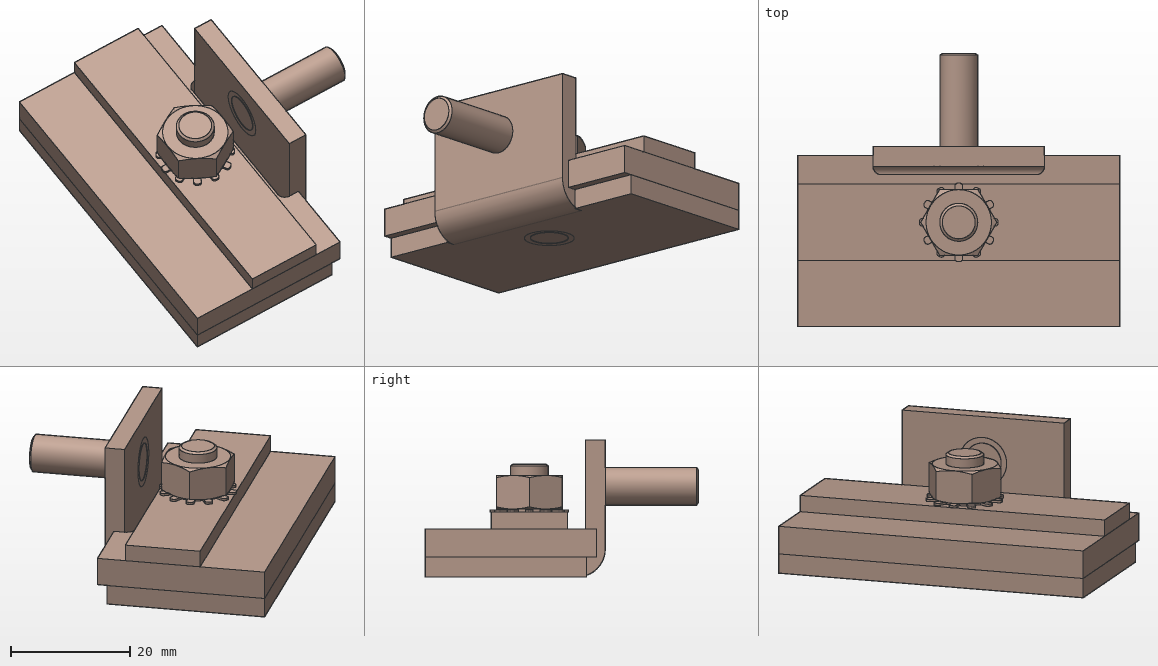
import cadquery as cq
import math

length = 54.0
slab_depth = 28.7
slab_height = 4.75
bar_height = 2.8
bar_width = 12.85
bar_center = 17.5

sheet_thickness = 3.35
foot_depth = 27.1
leg_width = 28.7
bracket_back = 30.25
bracket_top = 23.0
bend_inner_radius = 1.4
stud_height = 15.2

stud_length = 18.95
stud_diameter = 6.35
tip_chamfer_length = 0.3
tip_chamfer_depth = 0.45
head_diameter = 8.35
head_thickness = 1.1
dimple_depth = 0.1

washer_thickness = 0.5
tooth_thickness = 0.4
washer_ring_diameter = 9.5
washer_tip_diameter = 13.15
tooth_count = 12
tooth_width = 1.3
tooth_corner_radius = 0.5

nut_height = 5.65
nut_across_flats = 11.05
nut_face_diameter = 10.95
nut_chamfer_height = 0.4

slab_top = sheet_thickness + slab_height
bar_top = slab_top + bar_height
washer_top = bar_top + washer_thickness

leg_inner = bracket_back - sheet_thickness
bend_outer_radius = bend_inner_radius + sheet_thickness
bend_start = bracket_back - bend_outer_radius


def box(width, front, back, bottom, top):
    """Box centred on X = 0 between two Y values and two Z values."""
    return (
        cq.Workplane("XY", origin=(0, (front + back) / 2, bottom))
        .box(width, back - front, top - bottom, centered=(True, True, False))
    )


def upright_cylinder(diameter, bottom, top):
    """Cylinder on the vertical axis of the nut and the washer."""
    return (
        cq.Workplane("XY", origin=(0, bar_center, bottom))
        .circle(diameter / 2)
        .extrude(top - bottom)
    )


def make_stud():
    """Press-in stud along +Z, with the outer face of its head at Z = 0."""
    radius = stud_diameter / 2
    return (
        cq.Workplane("XZ")
        .moveTo(0, dimple_depth)
        .lineTo(radius, dimple_depth)
        .lineTo(radius, 0)
        .lineTo(head_diameter / 2, 0)
        .lineTo(head_diameter / 2, head_thickness)
        .lineTo(radius, head_thickness)
        .lineTo(radius, stud_length - tip_chamfer_length)
        .lineTo(radius - tip_chamfer_depth, stud_length)
        .lineTo(0, stud_length)
        .close()
        .revolve(360, (0, 0, 0), (0, 1, 0))
    )


def make_stud_hole():
    """Space in the bracket that takes the shank and the head of a stud."""
    shank = cq.Workplane("XY").circle(stud_diameter / 2).extrude(sheet_thickness)
    head = cq.Workplane("XY").circle(head_diameter / 2).extrude(head_thickness)
    return shank.union(head)


def place_upright(body):
    """Stand a stud in the foot, with its head flush with the underside."""
    return body.translate((0, bar_center, 0))


def place_level(body):
    """Point a stud along +Y from the inner face of the upright leg."""
    return body.rotate((0, 0, 0), (1, 0, 0), -90).translate((0, leg_inner, stud_height))


stud_placements = [place_upright, place_level]


def make_bend_and_leg():
    """Narrow tab that curves up from the foot and ends in the upright leg."""
    diagonal = math.sqrt(0.5)
    bend_center_z = bend_outer_radius
    outer_middle = (
        bend_start + bend_outer_radius * diagonal,
        bend_center_z - bend_outer_radius * diagonal,
    )
    inner_middle = (
        bend_start + bend_inner_radius * diagonal,
        bend_center_z - bend_inner_radius * diagonal,
    )
    return (
        cq.Workplane("YZ")
        .moveTo(bend_start, 0)
        .threePointArc(outer_middle, (bracket_back, bend_center_z))
        .lineTo(bracket_back, bracket_top)
        .lineTo(leg_inner, bracket_top)
        .lineTo(leg_inner, bend_center_z)
        .threePointArc(inner_middle, (bend_start, sheet_thickness))
        .close()
        .extrude(leg_width / 2, both=True)
    )


def make_bracket():
    """Sheet-metal bracket: a wide flat foot with a narrower leg bent up at the back."""
    foot = box(length, 0, foot_depth, 0, sheet_thickness)
    leg_slot = box(leg_width, bend_start, foot_depth, 0, sheet_thickness)
    bracket = foot.cut(leg_slot).union(make_bend_and_leg())
    for place in stud_placements:
        bracket = bracket.cut(place(make_stud_hole()))
    return bracket


def make_slab(bracket):
    """Slab on the foot, notched at the back for the upright leg."""
    slab = box(length, 0, slab_depth, sheet_thickness, slab_top)
    notch = (
        box(leg_width, bend_start, slab_depth, sheet_thickness, slab_top)
        .edges("|Z and <Y")
        .fillet(bend_inner_radius)
    )
    stud_hole = upright_cylinder(stud_diameter, sheet_thickness, slab_top)
    return slab.cut(notch).cut(stud_hole).cut(bracket)


def make_bar():
    """Narrow bar along the top of the slab, under the washer."""
    front = bar_center - bar_width / 2
    bar = box(length, front, front + bar_width, slab_top, bar_top)
    return bar.cut(upright_cylinder(stud_diameter, slab_top, bar_top))


def make_washer():
    """Star washer: a flat ring with round-cornered teeth pointing outward."""
    washer = upright_cylinder(washer_ring_diameter, bar_top, washer_top)
    tooth_reach = washer_tip_diameter / 2
    tooth = (
        cq.Workplane("XY", origin=(0, bar_center, bar_top))
        .rect(tooth_reach, tooth_width)
        .extrude(tooth_thickness)
        .translate((tooth_reach / 2, 0, 0))
        .edges("|Z and >X")
        .fillet(tooth_corner_radius)
    )
    axis_start = (0, bar_center, 0)
    axis_end = (0, bar_center, 1)
    for index in range(tooth_count):
        washer = washer.union(tooth.rotate(axis_start, axis_end, index * 360 / tooth_count))
    return washer.cut(upright_cylinder(stud_diameter, bar_top, washer_top))


def make_nut():
    """Hexagon nut with corners along X, chamfered at both ends."""
    nut_top = washer_top + nut_height
    across_corners = nut_across_flats / math.cos(math.pi / 6)
    hexagon = (
        cq.Workplane("XY", origin=(0, bar_center, washer_top))
        .polygon(6, across_corners)
        .extrude(nut_height)
    )
    chamfer_width = (across_corners - nut_face_diameter) / 2
    envelope = (
        upright_cylinder(across_corners, washer_top, nut_top)
        .faces("<Z or >Z")
        .chamfer(nut_chamfer_height, chamfer_width)
    )
    return hexagon.intersect(envelope).cut(upright_cylinder(stud_diameter, washer_top, nut_top))


bracket = make_bracket()
slab = make_slab(bracket)
bar = make_bar()
washer = make_washer()
nut = make_nut()
studs = [place(make_stud()) for place in stud_placements]

result = cq.Compound.makeCompound([
    bracket.val(),
    slab.val(),
    bar.val(),
    washer.val(),
    nut.val(),
    *[stud.val() for stud in studs],
])